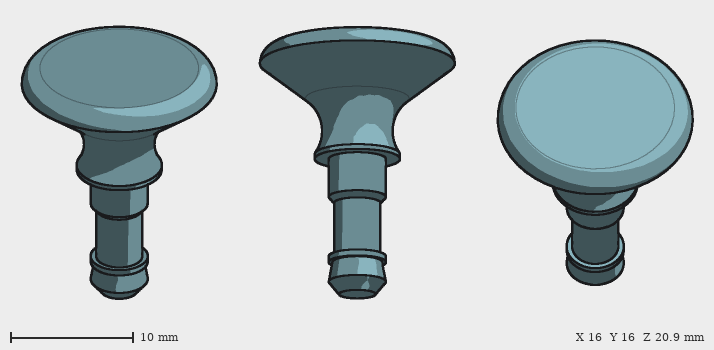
import cadquery as cq

tip_chamfer_top = 1.05
barb_top = 2.7
collar_top = 3.2
shank_top = 7.7
shoulder_bottom = 8.2
flange_bottom = 11.4
flange_top = 11.8
waist_height = 13.75
throat_top = 16.5
rim_edge_height = 19.45
total_height = 20.9

tip_radius = 1.5
stem_radius = 2.35
barb_neck_radius = 2.05
shank_radius = 1.9
flange_radius = 3.5
waist_radius = 2.9
throat_top_radius = 4.25
head_radius = 8.0
rim_round_radius = 1.5

rim_center_height = total_height - rim_round_radius
face_radius = head_radius - rim_round_radius
rim_edge_radius = face_radius + (rim_round_radius ** 2 - (rim_edge_height - rim_center_height) ** 2) ** 0.5
eighth_turn_offset = rim_round_radius * 0.5 ** 0.5


def stem_outline(outline):
    """Tip, snap barb, collar, thin shank and shoulder, from the bottom up."""
    return (
        outline
        .lineTo(tip_radius, 0)
        .lineTo(stem_radius, tip_chamfer_top)
        .lineTo(barb_neck_radius, barb_top)
        .lineTo(stem_radius, barb_top)
        .lineTo(stem_radius, collar_top)
        .lineTo(shank_radius, collar_top)
        .lineTo(shank_radius, shank_top)
        .lineTo(stem_radius, shoulder_bottom)
        .lineTo(stem_radius, flange_bottom)
    )


def knob_outline(outline):
    """Flange, concave throat, conical underside, rounded rim and flat face."""
    return (
        outline
        .lineTo(flange_radius, flange_bottom)
        .lineTo(flange_radius, flange_top)
        .threePointArc((waist_radius, waist_height), (throat_top_radius, throat_top))
        .lineTo(rim_edge_radius, rim_edge_height)
        .threePointArc(
            (face_radius + eighth_turn_offset, rim_center_height + eighth_turn_offset),
            (face_radius, total_height),
        )
        .lineTo(0, total_height)
    )


start = cq.Workplane("XZ").moveTo(0, 0)
half_profile = knob_outline(stem_outline(start)).close()
result = half_profile.revolve(360, (0, 0, 0), (0, 1, 0))